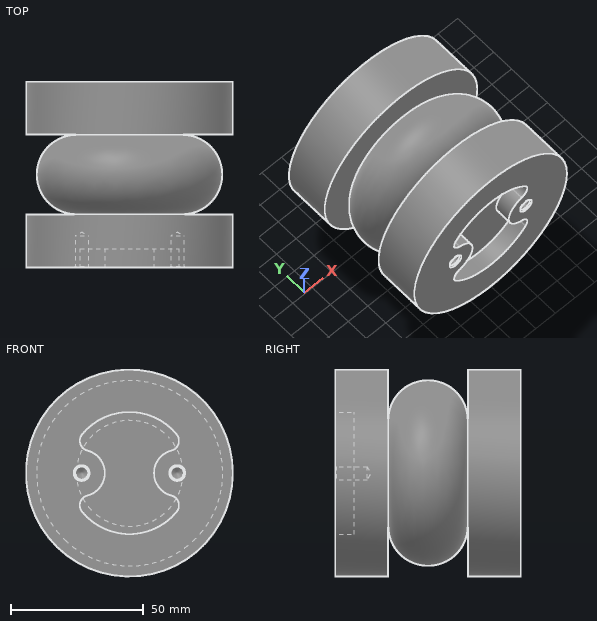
import cadquery as cq
import math

flange_diameter = 78.0
flange_thickness = 20.0
neck_width = 30.0
neck_diameter = 70.0
overall_length = 2 * flange_thickness + neck_width
front_y = -overall_length / 2

recess_radius = 23.0
recess_depth = 7.0
recess_corner_radius = 3.8
notch_radius = 8.75

hole_diameter = 4.92
hole_mouth_diameter = 6.0
hole_depth = 12.0
hole_spacing = 36.0
drill_point_angle = 120.0


def revolve_about_y(profile):
    """Turn a closed (radius, y) profile fully around the Y axis."""
    return profile.revolve(360, (0, 0, 0), (0, 1, 0))


def flange(start_y):
    """Plain disc from start_y towards +Y."""
    plane = cq.Workplane("XZ", origin=(0, start_y, 0))
    return plane.circle(flange_diameter / 2).extrude(-flange_thickness)


def neck():
    """Neck whose rim is a full half-round across its width."""
    half_width = neck_width / 2
    outer_radius = neck_diameter / 2
    shoulder_radius = outer_radius - half_width
    profile = (
        cq.Workplane("XY")
        .moveTo(0, -half_width)
        .lineTo(shoulder_radius, -half_width)
        .threePointArc((outer_radius, 0), (shoulder_radius, half_width))
        .lineTo(0, half_width)
        .close()
    )
    return revolve_about_y(profile)


def recess():
    """Round pocket with a round notch on each side and rounded corners."""
    front = cq.Workplane("XZ", origin=(0, front_y, 0))
    disc = front.circle(recess_radius).extrude(-recess_depth)
    notches = (
        front.pushPoints([(-hole_spacing / 2, 0), (hole_spacing / 2, 0)])
        .circle(notch_radius)
        .extrude(-recess_depth)
    )
    return disc.cut(notches).edges("|Y").fillet(recess_corner_radius)


def tapping_hole(x):
    """Blind hole with a 90 degree countersunk mouth and a conical bottom."""
    radius = hole_diameter / 2
    mouth_radius = hole_mouth_diameter / 2
    mouth_depth = mouth_radius - radius
    point_depth = radius / math.tan(math.radians(drill_point_angle / 2))
    profile = cq.Workplane("XY").polyline(
        [
            (0, 0),
            (mouth_radius, 0),
            (radius, mouth_depth),
            (radius, hole_depth),
            (0, hole_depth + point_depth),
        ]
    )
    return revolve_about_y(profile.close()).translate((x, front_y, 0))


result = flange(front_y).union(neck()).union(flange(neck_width / 2))
result = result.cut(recess())
for side in (-1, 1):
    result = result.cut(tapping_hole(side * hole_spacing / 2))